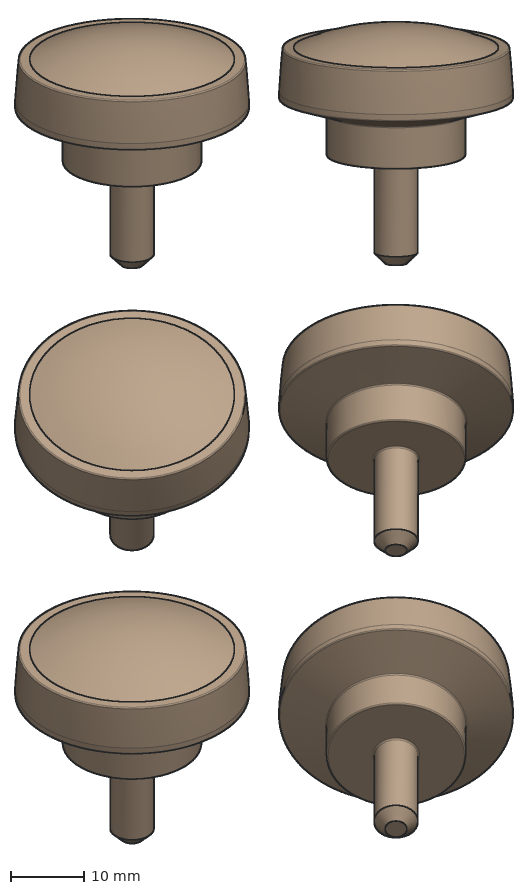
import cadquery as cq

total_height = 33.0
tip_chamfer_height = 1.52
hub_bottom = 15.0
hub_top = 20.95
head_bottom = 23.0
band_top = 23.95
rim_top = 30.05

tip_radius = 1.5
stud_radius = 6.0 / 2
hub_radius = 19.0 / 2
head_radius = 32.0 / 2
rim_radius = 15.5
dome_radius = 14.0

side_bulge = 0.03
edge_round = 0.2

side_middle = ((head_radius + rim_radius) / 2 + side_bulge, (band_top + rim_top) / 2)

dome_rise = total_height - rim_top
sphere_radius = (dome_radius**2 + dome_rise**2) / (2 * dome_rise)
dome_middle_radius = dome_radius / 2
dome_middle_height = (
    total_height - sphere_radius + (sphere_radius**2 - dome_middle_radius**2) ** 0.5
)

section = (
    cq.Workplane("XZ")
    .lineTo(tip_radius, 0)
    .lineTo(stud_radius, tip_chamfer_height)
    .lineTo(stud_radius, hub_bottom)
    .lineTo(hub_radius, hub_bottom)
    .lineTo(hub_radius, hub_top)
    .lineTo(head_radius, head_bottom)
    .lineTo(head_radius, band_top)
    .threePointArc(side_middle, (rim_radius, rim_top))
    .lineTo(dome_radius, rim_top)
    .threePointArc((dome_middle_radius, dome_middle_height), (0, total_height))
    .close()
)
knob = section.revolve(360, (0, 0, 0), (0, 1, 0))


def edge_at(radius, height):
    """Select the circular edge of the given radius at the given height."""
    reach = radius + 0.03
    return cq.selectors.BoxSelector(
        (-reach, -reach, height - 0.03), (reach, reach, height + 0.03), boundingbox=True
    ) - cq.selectors.BoxSelector(
        (0.03 - radius, 0.03 - radius, height - 0.03),
        (radius - 0.03, radius - 0.03, height + 0.03),
        boundingbox=True,
    )


for radius, height in (
    (stud_radius, hub_bottom),
    (hub_radius, hub_bottom),
    (hub_radius, hub_top),
    (head_radius, head_bottom),
    (rim_radius, rim_top),
):
    knob = knob.edges(edge_at(radius, height)).fillet(edge_round)

result = knob